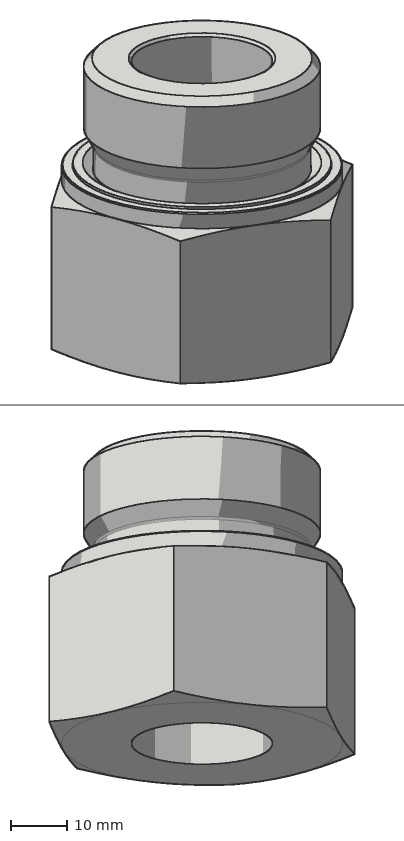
import cadquery as cq
import math

across_corners = 57.75
hex_height = 29.0
corner_relief_angle = 15.0

flange_diameter = 49.9
flange_top = 31.9
flange_edge_chamfer = 0.25
seat_diameter = 46.0
seat_depth = 2.3

total_height = 52.0
neck_diameter = 38.6
run_out_angle = 30.0
run_out_fillet = 1.0
head_diameter = 42.0
head_bottom = total_height - 13.1
head_chamfer = 1.5

bore_diameter = 25.0
bore_chamfer = 0.5

ring_outer_diameter = 45.8
ring_inner_diameter = 38.8
ring_mouth_diameter = 42.4
ring_mouth_slope = 32.0
ring_top = 32.3


def revolve_profile(points):
    """Revolve a closed (radius, height) outline around the Z axis."""
    return cq.Workplane("XZ").polyline(points).close().revolve(360, (0, 0), (0, 1))


def make_hexagon():
    """Hexagonal prism with corners on the Y axis, relieved at both ends."""
    prism = (
        cq.Workplane("XY")
        .polygon(6, across_corners)
        .extrude(hex_height)
        .rotate((0, 0, 0), (0, 0, 1), 90)
    )
    corner_radius = across_corners / 2
    relief_radius = flange_diameter / 2
    relief_drop = (corner_radius - relief_radius) * math.tan(math.radians(corner_relief_angle))
    envelope = revolve_profile([
        (0, 0),
        (relief_radius, 0),
        (corner_radius, relief_drop),
        (corner_radius, hex_height - relief_drop),
        (relief_radius, hex_height),
        (0, hex_height),
    ])
    return prism.intersect(envelope)


def make_flange():
    """Round flange with a recessed ring seat around the neck."""
    flange = (
        cq.Workplane("XY", origin=(0, 0, hex_height))
        .circle(flange_diameter / 2)
        .extrude(flange_top - hex_height)
        .faces(">Z")
        .chamfer(flange_edge_chamfer)
    )
    seat = (
        cq.Workplane("XY", origin=(0, 0, flange_top - seat_depth))
        .circle(seat_diameter / 2)
        .extrude(seat_depth)
    )
    return flange.cut(seat)


def make_spigot():
    """Neck that blends into a run-out cone and widens to the chamfered head."""
    neck_radius = neck_diameter / 2
    head_radius = head_diameter / 2
    run_out_height = (head_radius - neck_radius) / math.tan(math.radians(run_out_angle))
    neck_top = head_bottom - run_out_height
    spigot = revolve_profile([
        (0, hex_height),
        (neck_radius, hex_height),
        (neck_radius, neck_top),
        (head_radius, head_bottom),
        (head_radius, total_height - head_chamfer),
        (head_radius - head_chamfer, total_height),
        (0, total_height),
    ])
    neck_top_edge = cq.selectors.NearestToPointSelector((0, 0, neck_top))
    return spigot.edges("%CIRCLE").edges(neck_top_edge).fillet(run_out_fillet)


def make_bore():
    """Cutter for the through bore and the chamfer at its upper mouth."""
    bore_radius = bore_diameter / 2
    return revolve_profile([
        (0, 0),
        (bore_radius, 0),
        (bore_radius, total_height - bore_chamfer),
        (bore_radius + bore_chamfer, total_height),
        (0, total_height),
    ])


def make_fitting():
    """Fitting body: hexagon, flange and spigot with a through bore."""
    return make_hexagon().union(make_flange()).union(make_spigot()).cut(make_bore())


def make_sealing_ring():
    """Ring in the flange seat, with a conical inner mouth."""
    outer_radius = ring_outer_diameter / 2
    inner_radius = ring_inner_diameter / 2
    mouth_radius = ring_mouth_diameter / 2
    ring_bottom = flange_top - seat_depth
    mouth_depth = (mouth_radius - inner_radius) * math.tan(math.radians(ring_mouth_slope))
    return revolve_profile([
        (inner_radius, ring_bottom),
        (outer_radius, ring_bottom),
        (outer_radius, ring_top),
        (mouth_radius, ring_top),
        (inner_radius, ring_top - mouth_depth),
    ])


fitting = make_fitting()
sealing_ring = make_sealing_ring()

result = cq.Compound.makeCompound([fitting.val(), sealing_ring.val()])